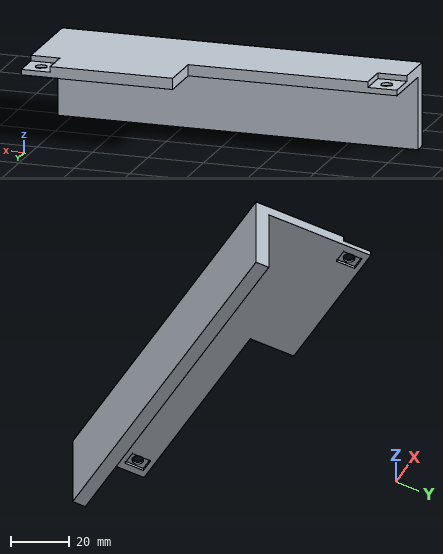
import cadquery as cq

length = 130.0
depth = 45.0
height = 30.0

plate_thickness = 4.0
wall_thickness = 5.0

notch_length = 75.3
notch_depth = 17.0

seat_width = 10.5
left_seat_length = 11.0
right_seat_length = 10.6
seat_recess = 2.0

hole_diameter = 4.0
hole_inset = 5.5
pocket_width = 5.2
pocket_length = 7.2
pocket_depth = 1.0

narrow_depth = depth - notch_depth
plate_bottom = height - plate_thickness


def corner_box(x, y, z, size_x, size_y, size_z):
    """Box with its minimum corner at (x, y, z)."""
    return cq.Workplane("XY").box(size_x, size_y, size_z, centered=False).translate((x, y, z))


def angle_body():
    """Vertical front wall joined to a stepped top plate."""
    wall = corner_box(0, 0, 0, length, wall_thickness, height)
    plate = corner_box(0, 0, plate_bottom, length, depth, plate_thickness)
    notch = corner_box(0, narrow_depth, 0, notch_length, notch_depth, height)
    return wall.union(plate).cut(notch)


def seat_recess_cut(left_x, rear_y, seat_length):
    """Shallow recess in the top of the plate, open at the corner."""
    front_y = rear_y - seat_length
    return corner_box(left_x, front_y, height - seat_recess, seat_width, seat_length, seat_recess)


def screw_hole_cut(x, y):
    """Through hole with a rectangular nut pocket below it."""
    base = cq.Workplane("XY").workplane(offset=plate_bottom).center(x, y)
    hole = base.circle(hole_diameter / 2).extrude(plate_thickness)
    pocket = base.rect(pocket_width, pocket_length).extrude(pocket_depth)
    return hole.union(pocket)


result = (
    angle_body()
    .cut(seat_recess_cut(0, narrow_depth, left_seat_length))
    .cut(seat_recess_cut(length - seat_width, depth, right_seat_length))
    .cut(screw_hole_cut(hole_inset, narrow_depth - hole_inset))
    .cut(screw_hole_cut(length - hole_inset, depth - hole_inset))
)